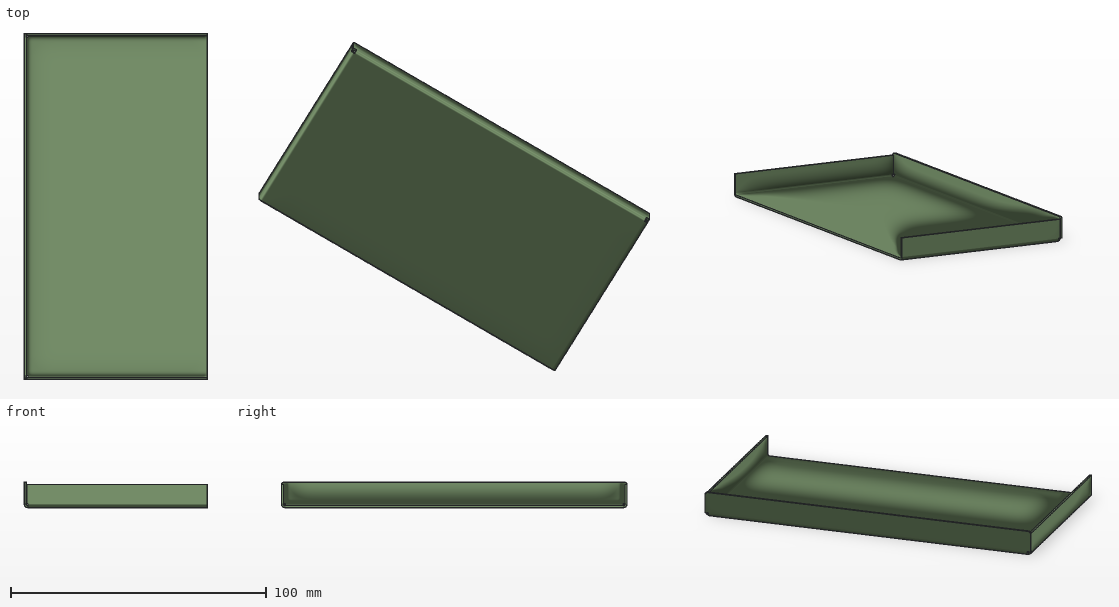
import cadquery as cq

length = 71.6
width = 135.2
end_wall_height = 10.0
thickness = 0.8
inner_bend_radius = 0.6
corner_gap = 0.1
relief_height = 0.1
end_wall_corner_radius = 1.0

side_wall_height = end_wall_height - thickness - corner_gap
bend_radius = inner_bend_radius + thickness
side_wall_start = thickness + corner_gap
tab_bottom = bend_radius + relief_height
floor_strip = bend_radius
tab_overlap = bend_radius


def bent_profile(plane, height):
    """Wall, bend and a short strip of floor, with the wall's outer face on the local origin."""
    return (
        cq.Workplane(plane)
        .moveTo(0, height)
        .lineTo(0, bend_radius)
        .radiusArc((bend_radius, 0), -bend_radius)
        .lineTo(bend_radius + floor_strip, 0)
        .lineTo(bend_radius + floor_strip, thickness)
        .lineTo(bend_radius, thickness)
        .radiusArc((thickness, bend_radius), inner_bend_radius)
        .lineTo(thickness, height)
        .close()
    )


def block(x_min, x_max, y_min, y_max, z_min, z_max):
    """Axis-aligned box given by its limits."""
    size = (x_max - x_min, y_max - y_min, z_max - z_min)
    return cq.Workplane("XY").box(*size, centered=False).translate((x_min, y_min, z_min))


def make_floor():
    half_floor = width / 2 - bend_radius
    return block(bend_radius, length, -half_floor, half_floor, 0, thickness)


def make_end_wall():
    """Wall across the closed end, widened above the bend to cover the side walls' ends."""
    floor_width = width - 2 * bend_radius
    plane = cq.Plane(origin=(0, floor_width / 2, 0), xDir=(1, 0, 0), normal=(0, -1, 0))
    bend = bent_profile(plane, end_wall_height).extrude(floor_width)
    face = block(0, thickness, -width / 2, width / 2, tab_bottom, end_wall_height)
    face = face.edges("|X and >Z").fillet(end_wall_corner_radius)
    return bend.union(face)


def make_side_wall():
    """Wall along the -Y side, with a tab above the bend reaching towards the end wall."""
    outer_y = -width / 2
    plane = cq.Plane(origin=(bend_radius, outer_y, 0), xDir=(0, 1, 0), normal=(1, 0, 0))
    bend = bent_profile(plane, side_wall_height).extrude(length - bend_radius)
    tab = block(
        side_wall_start, bend_radius + tab_overlap, outer_y, outer_y + thickness, tab_bottom, side_wall_height
    )
    return bend.union(tab)


side_wall = make_side_wall()
result = make_floor().union(make_end_wall()).union(side_wall).union(side_wall.mirror("XZ"))